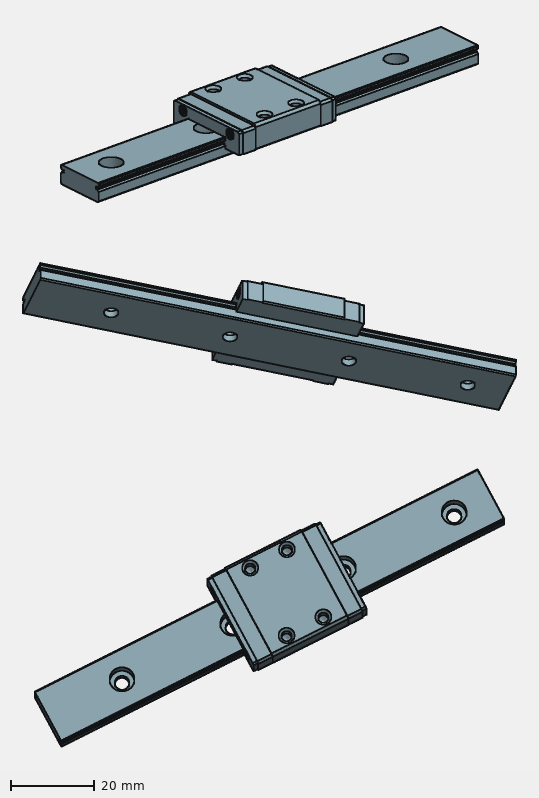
import cadquery as cq
import math

RAIL_LENGTH = 120
RAIL_WIDTH = 14.0
RAIL_HEIGHT = 5.2
RAIL_BOTTOM_CHAMFER = 0.4
RAIL_TOP_CHAMFER = 0.2

GROOVE_DIAMETER = 1.7
GROOVE_AXIS_OFFSET = 0.4
GROOVE_AXIS_Z = 3.6
RELIEF_HEIGHT = 0.6
RELIEF_DEPTH = 1.1

RAIL_HOLE_COUNT = 4
RAIL_HOLE_PITCH = 30
RAIL_HOLE_END_DISTANCE = 10.0
RAIL_HOLE_DIAMETER = 3.5
RAIL_BORE_DIAMETER = 6
RAIL_BORE_DEPTH = 3.2

CARRIAGE_CENTRE_Y = -4.7
CARRIAGE_BOTTOM_Z = 2.2

BLOCK_LENGTH = 20.5
BLOCK_WIDTH = 25.0
BLOCK_TOP_Z = 9.0
BLOCK_TOP_CHAMFER = 0.7
BLOCK_BOTTOM_CHAMFER = 0.4

CAP_LENGTH = 3.8
CAP_WIDTH = 24.7
CAP_TOP_Z = 8.4
CAP_CHAMFER = 0.6

PLATE_LENGTH = 1.2
PLATE_WIDTH = 24.2
PLATE_TOP_Z = 8.3
PLATE_CHAMFER = 0.5

BLOCK_END = BLOCK_LENGTH / 2
CAP_END = BLOCK_END + CAP_LENGTH
PLATE_END = CAP_END + PLATE_LENGTH

MOUNT_SPACING_X = 19.0
MOUNT_SPACING_Y = 10.0
MOUNT_DIAMETER = 2.5
MOUNT_MOUTH_DIAMETER = 3.8
MOUNT_DEPTH = 3.0
DRILL_TIP_ANGLE = 118

SCREW_SPACING = 17.4
SCREW_AXIS_Z = 6.6
SCREW_STEPS = [(2.8, 0.4), (1.8, 0.7), (1.2, 1.1)]


def rail_bar():
    """Solid rail section with chamfered edges and a groove on each side."""
    side_x = RAIL_WIDTH / 2
    half_length = RAIL_LENGTH / 2
    right_side = [
        (side_x - RAIL_BOTTOM_CHAMFER, 0),
        (side_x, RAIL_BOTTOM_CHAMFER),
        (side_x, RAIL_HEIGHT - RAIL_TOP_CHAMFER),
        (side_x - RAIL_TOP_CHAMFER, RAIL_HEIGHT),
    ]
    left_side = [(-x, z) for x, z in reversed(right_side)]
    section = cq.Workplane("XZ").polyline(right_side + left_side).close()
    bar = section.extrude(half_length, both=True)

    groove_axes = [(sign * (side_x + GROOVE_AXIS_OFFSET), GROOVE_AXIS_Z) for sign in (-1, 1)]
    grooves = (
        cq.Workplane("XZ").pushPoints(groove_axes)
        .circle(GROOVE_DIAMETER / 2)
        .extrude(half_length, both=True)
    )
    relief_centres = [(sign * side_x, GROOVE_AXIS_Z) for sign in (-1, 1)]
    reliefs = (
        cq.Workplane("XZ").pushPoints(relief_centres)
        .rect(2 * RELIEF_DEPTH, RELIEF_HEIGHT)
        .extrude(half_length, both=True)
    )
    return bar.cut(grooves).cut(reliefs)


def make_rail():
    """Rail bar with its row of counterbored holes."""
    row_length = (RAIL_HOLE_COUNT - 1) * RAIL_HOLE_PITCH
    row_centre_y = -RAIL_LENGTH / 2 + RAIL_HOLE_END_DISTANCE + row_length / 2
    return (
        rail_bar()
        .faces(">Z").workplane(origin=(0, row_centre_y, RAIL_HEIGHT))
        .rarray(1.2, RAIL_HOLE_PITCH, 1, RAIL_HOLE_COUNT)
        .cboreHole(RAIL_HOLE_DIAMETER, RAIL_BORE_DIAMETER, RAIL_BORE_DEPTH)
    )


def carriage_slab(width, top_z, top_chamfer, start_y, end_y):
    """Slab from start_y to end_y with its two long top edges chamfered."""
    height = top_z - CARRIAGE_BOTTOM_Z
    slab = cq.Workplane("XY").box(width, end_y - start_y, height, centered=(True, False, False))
    slab = slab.edges("|Y and >Z").chamfer(top_chamfer)
    return slab.translate((0, start_y, CARRIAGE_BOTTOM_Z))


def carriage_shell():
    """Block, caps and end plates as one solid without holes."""
    block = carriage_slab(BLOCK_WIDTH, BLOCK_TOP_Z, BLOCK_TOP_CHAMFER, -BLOCK_END, BLOCK_END)
    block = block.edges("|Y and <Z").chamfer(BLOCK_BOTTOM_CHAMFER)
    cap = carriage_slab(CAP_WIDTH, CAP_TOP_Z, CAP_CHAMFER, BLOCK_END, CAP_END)
    plate = carriage_slab(PLATE_WIDTH, PLATE_TOP_Z, PLATE_CHAMFER, CAP_END, PLATE_END)
    end = cap.union(plate)
    shell = block.union(end).union(end.mirror("XZ"))
    return shell.translate((0, CARRIAGE_CENTRE_Y, 0))


def mounting_holes():
    """Four blind drilled holes with a 45 degree mouth and a conical tip."""
    radius = MOUNT_DIAMETER / 2
    mouth_radius = MOUNT_MOUTH_DIAMETER / 2
    mouth_depth = mouth_radius - radius
    tip_length = radius / math.tan(math.radians(DRILL_TIP_ANGLE / 2))
    half_section = [
        (0, 0),
        (mouth_radius, 0),
        (radius, -mouth_depth),
        (radius, -MOUNT_DEPTH),
        (0, -MOUNT_DEPTH - tip_length),
    ]
    hole = cq.Workplane("XZ").polyline(half_section).close().revolve(360, (0, 0), (0, 1)).val()
    return (
        cq.Workplane(origin=(0, CARRIAGE_CENTRE_Y, BLOCK_TOP_Z))
        .rarray(MOUNT_SPACING_X, MOUNT_SPACING_Y, 2, 2)
        .eachpoint(hole, combine="a")
    )


def screw_recess(x, direction):
    """Stepped recess going in from the end plate on the given Y side (-1 or 1)."""
    face_y = CARRIAGE_CENTRE_Y + direction * PLATE_END
    plane = cq.Plane(origin=(x, face_y, SCREW_AXIS_Z), xDir=(1, 0, 0), normal=(0, direction, 0))
    recess = cq.Workplane(plane)
    for diameter, depth in SCREW_STEPS:
        recess = recess.union(cq.Workplane(plane).circle(diameter / 2).extrude(-depth))
    return recess


def make_carriage():
    """Carriage that fits around the rail, with its mounting and screw holes."""
    carriage = carriage_shell().cut(rail_bar()).cut(mounting_holes())
    for direction in (-1, 1):
        for x in (-SCREW_SPACING / 2, SCREW_SPACING / 2):
            carriage = carriage.cut(screw_recess(x, direction))
    return carriage


rail = make_rail()
carriage = make_carriage()
result = cq.Compound.makeCompound([rail.solids().val(), carriage.solids().val()])